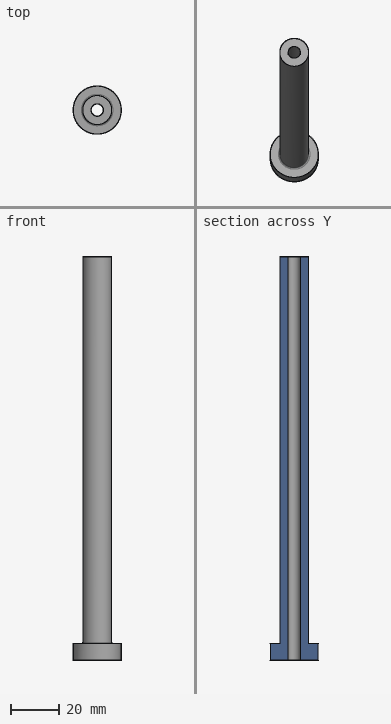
import cadquery as cq

total_length = 167.0
head_diameter = 20.0
head_height = 7.0
shank_diameter = 12.0
bore_diameter = 5.0
neck_fillet = 0.5


def make_headed_sleeve():
    """Straight shank standing on a wider head, centred on Z, base at Z = 0."""
    head = cq.Workplane("XY").circle(head_diameter / 2).extrude(head_height)
    return head.faces(">Z").workplane().circle(shank_diameter / 2).extrude(total_length - head_height)


def round_neck(body):
    """Fillet the inside corner between the shank and the top of the head."""
    reach = shank_diameter / 2 + neck_fillet
    corner_box = cq.selectors.BoxSelector(
        (-reach, -reach, head_height - neck_fillet),
        (reach, reach, head_height + neck_fillet),
        boundingbox=True,
    )
    return body.edges(corner_box).fillet(neck_fillet)


def cut_bore(body):
    """Bore straight through along the axis."""
    bore = cq.Workplane("XY").circle(bore_diameter / 2).extrude(total_length)
    return body.cut(bore)


result = cut_bore(round_neck(make_headed_sleeve()))